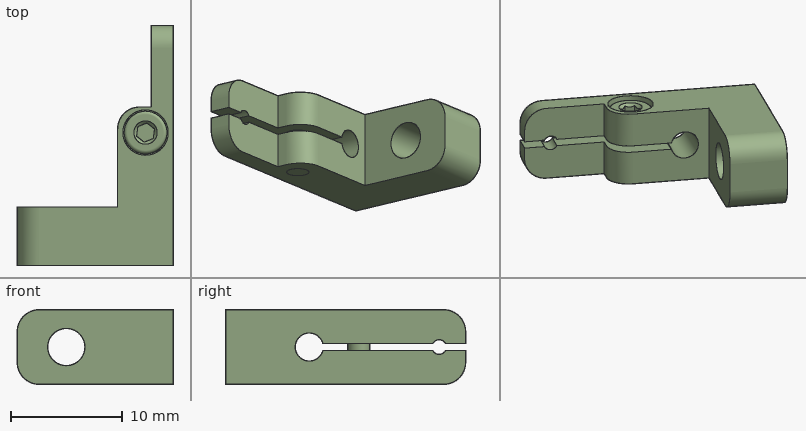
import cadquery as cq
import math

width = 14.0
length = 21.5
height = 6.7
foot_depth = 5.27
arm_width = 5.0
tongue_width = 2.0
arm_end_y = 14.21
corner_radius = 2.0

foot_bore_diameter = 3.31
foot_bore_x = 4.4
slit_height = 0.6
relief_bore_diameter = 2.5
relief_bore_y = 7.48
grip_bore_diameter = 1.3
grip_bore_y = length - 2.39

screw_x = width - 2.5
screw_y = 11.91
shank_diameter = 2.0
head_diameter = 3.83
head_height = 2.0
head_rounding = 0.3
head_sink = 0.3
recess_diameter = 4.06
socket_flats = 1.5
socket_depth = 1.08
socket_mouth_diameter = 2.09
socket_angle = 82.4

top_z = height / 2
bottom_z = -height / 2
head_top_z = top_z - head_sink
head_seat_z = head_top_z - head_height
socket_corner_diameter = socket_flats / math.cos(math.pi / 6)


def vertical_cylinder(diameter, z_low, z_high):
    """Cylinder on the screw axis between two heights."""
    return (
        cq.Workplane("XY", origin=(screw_x, screw_y, z_low))
        .circle(diameter / 2)
        .extrude(z_high - z_low)
    )


def cross_bore(diameter, y):
    """Bore along X at mid-height, long enough to pass through the arm."""
    return cq.Workplane("YZ", origin=(0, y, 0)).circle(diameter / 2).extrude(width)


def bracket_blank():
    """L-shaped plate with a stepped arm and rounded corners."""
    arm_x = width - arm_width
    tongue_x = width - tongue_width
    outline = [
        (0, 0),
        (width, 0),
        (width, length),
        (tongue_x, length),
        (tongue_x, arm_end_y),
        (arm_x, arm_end_y),
        (arm_x, foot_depth),
        (0, foot_depth),
    ]
    blank = cq.Workplane("XY", origin=(0, 0, bottom_z)).polyline(outline).close().extrude(height)
    foot_corners = blank.faces("<X").edges("|Y")
    blank = foot_corners.fillet(corner_radius)
    tongue_corners = blank.faces(">Y").edges("|X")
    blank = tongue_corners.fillet(corner_radius)
    arm_corner = blank.edges(cq.selectors.NearestToPointSelector((arm_x, arm_end_y, 0)))
    return arm_corner.fillet(corner_radius)


def make_bracket():
    """Bracket with foot bore, slit clamp arm and screw seat."""
    foot_bore = (
        cq.Workplane("XZ", origin=(foot_bore_x, 0, 0))
        .circle(foot_bore_diameter / 2)
        .extrude(-foot_depth)
    )
    slit = cq.Workplane("XY").box(
        width, length - relief_bore_y, slit_height, centered=(False, False, True)
    ).translate((0, relief_bore_y, 0))
    return (
        bracket_blank()
        .cut(foot_bore)
        .cut(slit)
        .cut(cross_bore(relief_bore_diameter, relief_bore_y))
        .cut(cross_bore(grip_bore_diameter, grip_bore_y))
        .cut(vertical_cylinder(recess_diameter, head_seat_z, top_z))
        .cut(vertical_cylinder(shank_diameter, bottom_z, head_seat_z))
    )


def make_screw():
    """Socket-head screw, its shank ending flush with the bracket's underside."""
    head = vertical_cylinder(head_diameter, head_seat_z, head_top_z)
    head = head.faces(">Z").edges().fillet(head_rounding)
    shank = vertical_cylinder(shank_diameter, bottom_z, head_seat_z)
    socket = (
        cq.Workplane("XY")
        .polygon(6, socket_corner_diameter)
        .extrude(-socket_depth)
        .rotate((0, 0, 0), (0, 0, 1), socket_angle)
        .translate((screw_x, screw_y, head_top_z))
    )
    mouth_radius = socket_mouth_diameter / 2
    mouth_center = cq.Vector(screw_x, screw_y, head_top_z)
    down = cq.Vector(0, 0, -1)
    countersink = cq.Workplane(cq.Solid.makeCone(mouth_radius, 0, mouth_radius, mouth_center, down))
    return head.union(shank).cut(socket).cut(countersink)


bracket = make_bracket()
screw = make_screw()

result = cq.Compound.makeCompound([bracket.val(), screw.val()])